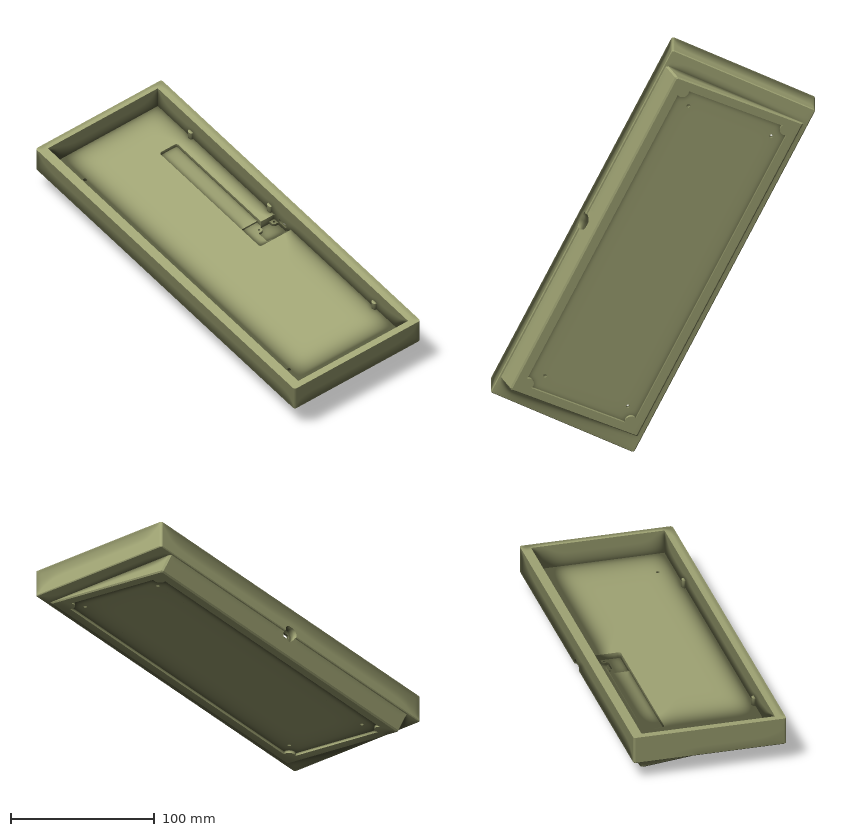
import cadquery as cq
import math

LENGTH = 295.7
WIDTH = 110.3
HEIGHT = 31.0
TRAY_HEIGHT = 20.0
SIDE_WALL = 5.0
FLOOR_DEPTH = 17.5
CORNER_RADIUS = 1.8
BOTTOM_CHAMFER = 0.5
TRAY_BOTTOM = HEIGHT - TRAY_HEIGHT
FLOOR_Z = HEIGHT - FLOOR_DEPTH
END_WALL = 7.0
INNER_BACK_Y = WIDTH / 2 - END_WALL
INNER_FRONT_Y = -INNER_BACK_Y

FOOT_LENGTH = 270.3
FOOT_BACK_Y = 53.5
FOOT_FRONT_Y = -51.7
FOOT_TIP_Y = 45.8
FOOT_CHAMFER = 1.0
FOOT_END_CHAMFER = 1.2
FOOT_SLOPE = math.radians(5.9)
FOOT_RUN_Y = FOOT_TIP_Y - FOOT_FRONT_Y
FOOT_BOTTOM_RUN = FOOT_RUN_Y / math.cos(FOOT_SLOPE)
FOOT_TIP_Z = -FOOT_CHAMFER * math.sin(FOOT_SLOPE)
FOOT_FRONT_Z = FOOT_TIP_Z + FOOT_RUN_Y * math.tan(FOOT_SLOPE)

RECESS_MARGIN = 7.0
RECESS_DEPTH = 2.0
RECESS_LENGTH = FOOT_LENGTH - 2 * RECESS_MARGIN
RECESS_RUN = FOOT_BOTTOM_RUN - 2 * RECESS_MARGIN
PAD_DIAMETER = 8.5
PAD_INSET = 2.0

SCREW_DIAMETER = 2.55
SCREW_SPACING = 233.0
FRONT_SCREW_Y = -35.8
BACK_SCREW_Y = 27.8
BACK_SCREW_TOP = 9.0

CHANNEL_LEFT = -106.0
CHANNEL_RIGHT = 9.2
CHANNEL_BACK_Y = 36.5
CHANNEL_FRONT_Y = 21.0
CHANNEL_DEPTH = 3.0
CHANNEL_RADIUS = 1.8
PLUG_LEFT = -14.2
PLUG_DEPTH = 4.5
BOARD_LEFT = -9.8
BOARD_FRONT_Y = 30.8
BOARD_DEPTH = 6.5
BOARD_Z = FLOOR_Z - BOARD_DEPTH
SHELF_Z = FLOOR_Z - PLUG_DEPTH
BOARD_X = (BOARD_LEFT + CHANNEL_RIGHT) / 2

PILOT_SPACING_X = 14.8
PILOT_BACK_Y = 46.0
PILOT_FRONT_Y = 33.0
SHELF_RADIUS = 2.5
BOARD_RADIUS = 1.0
PILOT_DIAMETER = 1.6
PILOT_DEPTH = 3.0

PORT_WIDTH = 9.0
PORT_HEIGHT = 3.3
PORT_Z = 11.8
PORT_WALL = 1.8
PLUG_RELIEF_WIDTH = 12.5
PLUG_RELIEF_HEIGHT = 9.0

TAB_WIDTH = 4.5
TAB_REACH = 2.0
TAB_HEIGHT = 6.0
TAB_RADIUS = 1.8
BACK_TAB_XS = (-104.7, -14.5, 104.7)
FRONT_TAB_XS = (-90.5, 90.5)


def box_between(x_min, x_max, y_min, y_max, z_min, z_max):
    """Axis-aligned block given by its limits."""
    size = (x_max - x_min, y_max - y_min, z_max - z_min)
    return cq.Workplane("XY").box(*size, centered=False).translate((x_min, y_min, z_min))


def make_tray():
    tray = (
        cq.Workplane("XY", origin=(0, 0, TRAY_BOTTOM))
        .rect(LENGTH, WIDTH)
        .extrude(TRAY_HEIGHT)
        .edges("|Z")
        .fillet(CORNER_RADIUS)
        .faces("<Z")
        .edges()
        .chamfer(BOTTOM_CHAMFER)
    )
    half_inside = LENGTH / 2 - SIDE_WALL
    inside = box_between(-half_inside, half_inside, INNER_FRONT_Y, INNER_BACK_Y, FLOOR_Z, HEIGHT)
    return tray.cut(inside)


def make_foot():
    profile = [
        (FOOT_FRONT_Y, TRAY_BOTTOM),
        (FOOT_FRONT_Y, FOOT_FRONT_Z),
        (FOOT_TIP_Y, FOOT_TIP_Z),
        (FOOT_BACK_Y, TRAY_BOTTOM),
    ]
    end_plane = cq.Workplane("YZ", origin=(-FOOT_LENGTH / 2, 0, 0))
    foot = end_plane.polyline(profile).close().extrude(FOOT_LENGTH)
    foot = foot.faces(">Y").edges("<X or >X").chamfer(FOOT_END_CHAMFER)
    return foot.faces("<Z").edges().chamfer(FOOT_CHAMFER)


def make_recess():
    """Recess tool lying on the sloping underside, measured along the slope."""
    middle_y = (FOOT_FRONT_Y + FOOT_TIP_Y) / 2
    underside = cq.Plane(
        origin=(0, middle_y, (FOOT_FRONT_Z + FOOT_TIP_Z) / 2),
        xDir=(1, 0, 0),
        normal=(0, math.sin(FOOT_SLOPE), math.cos(FOOT_SLOPE)),
    )
    recess = cq.Workplane(underside).rect(RECESS_LENGTH, RECESS_RUN).extrude(RECESS_DEPTH)
    pads = (
        cq.Workplane(underside)
        .rect(RECESS_LENGTH - 2 * PAD_INSET, RECESS_RUN - 2 * PAD_INSET, forConstruction=True)
        .vertices()
        .circle(PAD_DIAMETER / 2)
        .extrude(RECESS_DEPTH)
    )
    return recess.cut(pads)


def make_screw_holes():
    """Front pair passes through the floor; back pair is blind from below."""

    def pair(y, top):
        points = [(-SCREW_SPACING / 2, y), (SCREW_SPACING / 2, y)]
        return cq.Workplane("XY").pushPoints(points).circle(SCREW_DIAMETER / 2).extrude(top)

    return pair(FRONT_SCREW_Y, HEIGHT).union(pair(BACK_SCREW_Y, BACK_SCREW_TOP))


def make_channel():
    channel = box_between(
        CHANNEL_LEFT, CHANNEL_RIGHT, CHANNEL_FRONT_Y, CHANNEL_BACK_Y, FLOOR_Z - CHANNEL_DEPTH, FLOOR_Z
    )
    plug = box_between(PLUG_LEFT, CHANNEL_RIGHT, CHANNEL_FRONT_Y, CHANNEL_BACK_Y, SHELF_Z, FLOOR_Z)
    channel = channel.edges("|Z").fillet(CHANNEL_RADIUS)
    plug = plug.edges("|Z and <Y").fillet(CHANNEL_RADIUS)
    return channel.union(plug)


def make_shelf(wall_x, wall_y, hole_x, hole_y):
    """Corner shelf reaching from two pocket walls to a rounded end around its pilot hole."""
    reach_x = abs(hole_x - wall_x) + SHELF_RADIUS
    reach_y = abs(hole_y - wall_y) + SHELF_RADIUS
    return (
        cq.Workplane("XY", origin=(wall_x, wall_y, BOARD_Z))
        .rect(2 * reach_x, 2 * reach_y)
        .extrude(SHELF_Z - BOARD_Z)
        .edges("|Z")
        .fillet(SHELF_RADIUS)
    )


def make_board_pocket():
    """Pocket with a shelf and pilot hole in each corner, open above the shelves."""
    lower = box_between(BOARD_LEFT, CHANNEL_RIGHT, BOARD_FRONT_Y, INNER_BACK_Y, BOARD_Z, SHELF_Z)
    upper = box_between(BOARD_LEFT, CHANNEL_RIGHT, BOARD_FRONT_Y, INNER_BACK_Y, SHELF_Z, FLOOR_Z)
    upper = upper.edges("|Z and >Y").fillet(BOARD_RADIUS)
    hole_offset = PILOT_SPACING_X / 2
    columns = ((BOARD_LEFT, BOARD_X - hole_offset), (CHANNEL_RIGHT, BOARD_X + hole_offset))
    rows = ((BOARD_FRONT_Y, PILOT_FRONT_Y), (INNER_BACK_Y, PILOT_BACK_Y))
    for wall_x, hole_x in columns:
        for wall_y, hole_y in rows:
            lower = lower.cut(make_shelf(wall_x, wall_y, hole_x, hole_y))
    lower = lower.faces("<X or >X or <Y or >Y").edges("|Z").fillet(BOARD_RADIUS)
    pilots = (
        cq.Workplane("XY", origin=(0, 0, SHELF_Z - PILOT_DEPTH))
        .pushPoints([(hole_x, hole_y) for _, hole_x in columns for _, hole_y in rows])
        .circle(PILOT_DIAMETER / 2)
        .extrude(PILOT_DEPTH)
    )
    return lower.union(upper).union(pilots)


def make_port():
    """Connector slot with a larger plug relief from outside that thins the wall around it."""
    outside = cq.Workplane("XZ", origin=(BOARD_X, WIDTH / 2, PORT_Z))
    slot = outside.slot2D(PORT_WIDTH, PORT_HEIGHT).extrude(END_WALL)
    relief = outside.slot2D(PLUG_RELIEF_WIDTH, PLUG_RELIEF_HEIGHT).extrude(END_WALL - PORT_WALL)
    return slot.union(relief)


def make_tab(x, wall_y, inward):
    """Small block standing on the floor against a wall; inward is the Y direction away from it."""
    tip_y = wall_y + inward * TAB_REACH
    y_min, y_max = sorted((wall_y, tip_y))
    half = TAB_WIDTH / 2
    tab = box_between(x - half, x + half, y_min, y_max, FLOOR_Z, FLOOR_Z + TAB_HEIGHT)
    tip = ">Y" if inward > 0 else "<Y"
    return tab.faces(tip).edges("|Z").fillet(TAB_RADIUS)


result = make_tray().union(make_foot())
for cutter in (make_recess(), make_screw_holes(), make_channel(), make_board_pocket(), make_port()):
    result = result.cut(cutter)
for tab_x in BACK_TAB_XS:
    result = result.union(make_tab(tab_x, INNER_BACK_Y, -1))
for tab_x in FRONT_TAB_XS:
    result = result.union(make_tab(tab_x, INNER_FRONT_Y, 1))